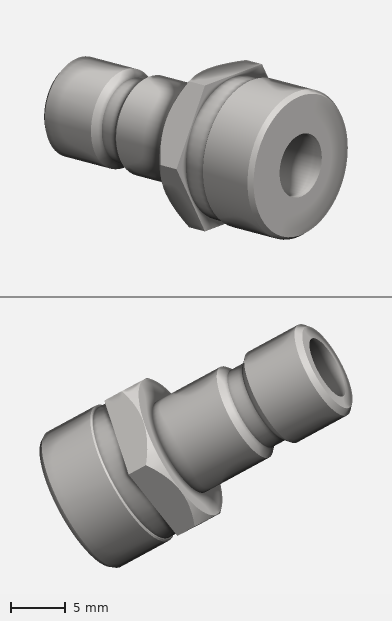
import cadquery as cq
import math

total_length = 27.0
groove_start = 6.0
groove_end = 9.0
hex_start = 16.0
hex_end = 19.0
collar_start = 21.11

bore_diameter = 6.0
plug_diameter = 9.4
groove_diameter = 8.0
neck_diameter = 13.5
collar_diameter = 14.0

hex_across_flats = 14.0
hex_across_corners = hex_across_flats / math.cos(math.pi / 6)
hex_face_diameter = 13.95

tip_chamfer = 0.5
collar_inner_chamfer = 0.14
collar_end_chamfer_length = 0.45
collar_end_chamfer_height = 0.32
groove_depth = (plug_diameter - groove_diameter) / 2


def cylinder(start, end, diameter):
    """Solid cylinder along X between two positions."""
    return cq.Workplane("YZ").workplane(offset=start).circle(diameter / 2).extrude(end - start)


def make_plug():
    """Slender cylinder with a chamfered tip and a groove with sloping sides."""
    plug_radius = plug_diameter / 2
    groove_radius = groove_diameter / 2
    return (
        cq.Workplane("XY")
        .moveTo(0, 0)
        .lineTo(0, plug_radius - tip_chamfer)
        .lineTo(tip_chamfer, plug_radius)
        .lineTo(groove_start, plug_radius)
        .lineTo(groove_start + groove_depth, groove_radius)
        .lineTo(groove_end - groove_depth, groove_radius)
        .lineTo(groove_end, plug_radius)
        .lineTo(hex_start, plug_radius)
        .lineTo(hex_start, 0)
        .close()
        .revolve(360, (0, 0, 0), (1, 0, 0))
    )


def make_hexagon():
    """Hexagon whose corners are turned to a 45 degree cone on the plug side."""
    hexagon = (
        cq.Workplane("YZ")
        .workplane(offset=hex_start)
        .polygon(6, hex_across_corners)
        .extrude(hex_end - hex_start)
    )
    hex_length = hex_end - hex_start
    cone = (
        cq.Workplane("XY")
        .moveTo(hex_start, 0)
        .lineTo(hex_start, hex_face_diameter / 2)
        .lineTo(hex_end, hex_face_diameter / 2 + hex_length)
        .lineTo(hex_end, 0)
        .close()
        .revolve(360, (0, 0, 0), (1, 0, 0))
    )
    return hexagon.intersect(cone)


def make_collar():
    """Large cylinder at the +X end, chamfered on both edges."""
    collar_radius = collar_diameter / 2
    return (
        cq.Workplane("XY")
        .moveTo(collar_start, 0)
        .lineTo(collar_start, collar_radius - collar_inner_chamfer)
        .lineTo(collar_start + collar_inner_chamfer, collar_radius)
        .lineTo(total_length - collar_end_chamfer_length, collar_radius)
        .lineTo(total_length, collar_radius - collar_end_chamfer_height)
        .lineTo(total_length, 0)
        .close()
        .revolve(360, (0, 0, 0), (1, 0, 0))
    )


neck = cylinder(hex_end, collar_start, neck_diameter)
bore = cylinder(0, total_length, bore_diameter)

result = make_plug().union(make_hexagon()).union(neck).union(make_collar()).cut(bore)